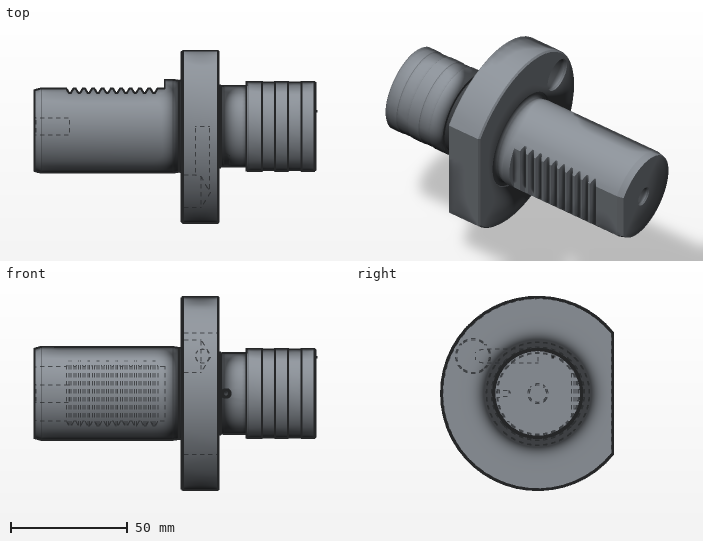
import cadquery as cq
import math


SHANK_RADIUS = 20.0
SHANK_LENGTH = 63.0
LEAD_LENGTH = 3.0
LEAD_ANGLE = 15.0
RELIEF_START = -3.75
RELIEF_END = -1.55
RELIEF_RADIUS = 19.65
SHANK_GROOVE_END = -0.55
SHANK_GROOVE_DEPTH = 0.15
SHANK_GROOVE_SIDE = 0.4

FLAT_Y = 16.25
FLAT_END = -7.2
TOOTH_PITCH = 4.0
TOOTH_COUNT = 10
LAST_TOOTH_X = -11.75
TOOTH_DEPTH = 1.9
TOOTH_ROOT_WIDTH = 0.8
TOOTH_TOP_WIDTH = 3.1

FLANGE_RADIUS = 41.5
FLANGE_THICKNESS = 16.0
FLANGE_FLAT_Y = 32.35
FLANGE_FRONT_CHAMFER = 0.75
FLANGE_BACK_CHAMFER = 0.5

RECESS_RADIUS = 22.2
RECESS_CHAMFER = 0.25
ROOT_FILLET = 1.2
RECESS_DEPTH = SHANK_GROOVE_END + ROOT_FILLET

NECK_RADIUS = 17.4
NECK_COLLAR_RADIUS = 17.7
NECK_COLLAR_END = 16.65
NECK_GROOVE_RADIUS = 17.3
NECK_GROOVE_START = 17.0
NECK_GROOVE_END = 17.4
NECK_START = 18.2
HEAD_START = 27.9
HEAD_END = 57.65
HEAD_RADIUS = 19.2
HEAD_EDGE_LENGTH = 0.6
HEAD_EDGE_DROP = 0.15
HEAD_END_CHAMFER = 0.75
HEAD_BANDS = ((34.5, 40.2), (45.6, 51.6))
BAND_DEPTH = 0.25
BAND_SIDE = 0.25

OVERALL_LENGTH = 121.0
PIP_DIAMETER = 0.5
PIP_Y = 6.4
PIP_Z = 15.5

END_HOLE_RADIUS = 3.7
END_HOLE_CHAMFER = 0.6
END_HOLE_DEPTH = 15.0

PORT_Y = -27.8
PORT_Z = 16.1
PORT_RADIUS = 7.0
PORT_CHAMFER_WIDTH = 0.5
PORT_CHAMFER_DEPTH = 0.85
PORT_DEPTH = 8.4
PORT_POINT_ANGLE = 118.0
CROSS_HOLE_X = 8.95
CROSS_HOLE_RADIUS = 2.95
CROSS_HOLE_END_Y = 0.0

SIDE_HOLE_X = 19.15
SIDE_HOLE_RADIUS = 1.3
SIDE_HOLE_MOUTH_RADIUS = 2.0
SIDE_HOLE_CHAMFER = 0.35
SIDE_HOLE_MOUTH_DEPTH = 1.0
SIDE_HOLE_DEPTH = 5.0
SIDE_HOLE_POINT_ANGLE = 118.0


def revolve_about_x(points):
    """Solid of revolution from (x, radius) points, closed along the X axis."""
    rim = [(x, -radius) for x, radius in points]
    outline = [(points[0][0], 0)] + rim + [(points[-1][0], 0)]
    profile = cq.Workplane("XY").polyline(outline).close()
    return profile.revolve(360, (0, 0, 0), (1, 0, 0))


def make_shank():
    lead_drop = LEAD_LENGTH * math.tan(math.radians(LEAD_ANGLE))
    groove_radius = RELIEF_RADIUS - SHANK_GROOVE_DEPTH
    shank = revolve_about_x([
        (-SHANK_LENGTH, SHANK_RADIUS - lead_drop),
        (-SHANK_LENGTH + LEAD_LENGTH, SHANK_RADIUS),
        (RELIEF_START, SHANK_RADIUS),
        (RELIEF_END, RELIEF_RADIUS),
        (RELIEF_END + SHANK_GROOVE_SIDE, groove_radius),
        (SHANK_GROOVE_END - SHANK_GROOVE_SIDE, groove_radius),
        (SHANK_GROOVE_END, RELIEF_RADIUS),
        (FLANGE_THICKNESS / 2, RELIEF_RADIUS),
    ])
    return shank.cut(make_rack_cutter(lead_drop))


def make_rack_cutter(lead_drop):
    """Everything removed above the toothed flat, including its sloped lead."""
    above = 2 * SHANK_RADIUS
    start = -SHANK_LENGTH
    flat = (
        cq.Workplane("XY")
        .moveTo(start, FLAT_Y - lead_drop)
        .lineTo(start + LEAD_LENGTH, FLAT_Y)
        .lineTo(FLAT_END, FLAT_Y)
        .lineTo(FLAT_END, above)
        .lineTo(start, above)
        .close()
        .extrude(SHANK_RADIUS, both=True)
    )
    for index in range(TOOTH_COUNT):
        flat = flat.union(make_tooth_gap(LAST_TOOTH_X - index * TOOTH_PITCH))
    return flat


def make_tooth_gap(x):
    root_y = FLAT_Y - TOOTH_DEPTH
    return (
        cq.Workplane("XY")
        .moveTo(x - TOOTH_TOP_WIDTH / 2, FLAT_Y)
        .lineTo(x - TOOTH_ROOT_WIDTH / 2, root_y)
        .lineTo(x + TOOTH_ROOT_WIDTH / 2, root_y)
        .lineTo(x + TOOTH_TOP_WIDTH / 2, FLAT_Y)
        .close()
        .extrude(SHANK_RADIUS, both=True)
    )


def make_flange():
    size = 2 * FLANGE_RADIUS
    disc = cq.Workplane("YZ").circle(FLANGE_RADIUS).extrude(FLANGE_THICKNESS)
    beyond_flat = cq.Workplane("XY").box(size, size, size)
    beyond_flat = beyond_flat.translate((0, FLANGE_FLAT_Y + FLANGE_RADIUS, 0))
    flange = disc.cut(beyond_flat)
    flange = flange.faces("<X").edges().chamfer(FLANGE_FRONT_CHAMFER)
    return flange.faces(">X").edges().chamfer(FLANGE_BACK_CHAMFER)


def make_recess():
    """Chamfered ring-shaped recess, as deep as the bottom of the root fillet."""
    wall_radius = RECESS_RADIUS - RECESS_CHAMFER
    profile = cq.Workplane("XY").polyline([
        (0, -RELIEF_RADIUS),
        (RECESS_DEPTH, -RELIEF_RADIUS),
        (RECESS_DEPTH, -wall_radius),
        (RECESS_CHAMFER, -wall_radius),
        (0, -RECESS_RADIUS),
    ])
    return profile.close().revolve(360, (0, 0, 0), (1, 0, 0))


def make_root_fillet():
    """Concave ring sweeping from the shank into the recess floor."""
    profile = (
        cq.Workplane("XY")
        .moveTo(SHANK_GROOVE_END, -RELIEF_RADIUS)
        .radiusArc((RECESS_DEPTH, -RELIEF_RADIUS - ROOT_FILLET), ROOT_FILLET)
        .lineTo(RECESS_DEPTH, -RELIEF_RADIUS)
        .close()
    )
    return profile.revolve(360, (0, 0, 0), (1, 0, 0))


def make_neck_and_head():
    points = [
        (FLANGE_THICKNESS / 2, NECK_COLLAR_RADIUS),
        (NECK_COLLAR_END, NECK_COLLAR_RADIUS),
        (NECK_GROOVE_START, NECK_GROOVE_RADIUS),
        (NECK_GROOVE_END, NECK_GROOVE_RADIUS),
        (NECK_START, NECK_RADIUS),
        (HEAD_START, NECK_RADIUS),
        (HEAD_START, HEAD_RADIUS - HEAD_EDGE_DROP),
        (HEAD_START + HEAD_EDGE_LENGTH, HEAD_RADIUS),
    ]
    band_radius = HEAD_RADIUS - BAND_DEPTH
    for band_start, band_end in HEAD_BANDS:
        points += [
            (band_start, HEAD_RADIUS),
            (band_start + BAND_SIDE, band_radius),
            (band_end - BAND_SIDE, band_radius),
            (band_end, HEAD_RADIUS),
        ]
    points += [
        (HEAD_END - HEAD_END_CHAMFER, HEAD_RADIUS),
        (HEAD_END, HEAD_RADIUS - HEAD_END_CHAMFER),
    ]
    return revolve_about_x(points)


def make_pip():
    tip_x = OVERALL_LENGTH - SHANK_LENGTH
    base = cq.Workplane("YZ", origin=(HEAD_END, PIP_Y, PIP_Z))
    return base.circle(PIP_DIAMETER / 2).extrude(tip_x - HEAD_END)


def make_end_hole():
    start = -SHANK_LENGTH
    return revolve_about_x([
        (start, END_HOLE_RADIUS + END_HOLE_CHAMFER),
        (start + END_HOLE_CHAMFER, END_HOLE_RADIUS),
        (start + END_HOLE_DEPTH, END_HOLE_RADIUS),
    ])


def make_coolant_port():
    point_length = PORT_RADIUS / math.tan(math.radians(PORT_POINT_ANGLE / 2))
    port = (
        cq.Workplane("XY")
        .polyline([
            (0, 0),
            (0, PORT_RADIUS + PORT_CHAMFER_WIDTH),
            (PORT_CHAMFER_DEPTH, PORT_RADIUS),
            (PORT_DEPTH, PORT_RADIUS),
            (PORT_DEPTH + point_length, 0),
        ])
        .close()
        .revolve(360, (0, 0, 0), (1, 0, 0))
        .translate((0, PORT_Y, PORT_Z))
    )
    cross_hole = (
        cq.Workplane("XZ", origin=(CROSS_HOLE_X, CROSS_HOLE_END_Y, PORT_Z))
        .circle(CROSS_HOLE_RADIUS)
        .extrude(CROSS_HOLE_END_Y - PORT_Y)
    )
    return port.union(cross_hole)


def make_side_hole():
    """Tapped hole: a wide thread section above a narrower tapping drill with a pointed end."""
    point_length = SIDE_HOLE_RADIUS / math.tan(math.radians(SIDE_HOLE_POINT_ANGLE / 2))
    mouth_floor_y = SIDE_HOLE_MOUTH_DEPTH - NECK_RADIUS
    drill_end_y = SIDE_HOLE_DEPTH - NECK_RADIUS
    hole = (
        cq.Workplane("XY")
        .polyline([
            (0, -NECK_RADIUS),
            (SIDE_HOLE_MOUTH_RADIUS, -NECK_RADIUS),
            (SIDE_HOLE_MOUTH_RADIUS - SIDE_HOLE_CHAMFER, SIDE_HOLE_CHAMFER - NECK_RADIUS),
            (SIDE_HOLE_MOUTH_RADIUS - SIDE_HOLE_CHAMFER, mouth_floor_y),
            (SIDE_HOLE_RADIUS, mouth_floor_y),
            (SIDE_HOLE_RADIUS, drill_end_y),
            (0, drill_end_y + point_length),
        ])
        .close()
        .revolve(360, (0, 0, 0), (0, 1, 0))
    )
    return hole.translate((SIDE_HOLE_X, 0, 0))


result = make_flange().cut(make_recess()).union(make_root_fillet())
result = result.union(make_shank()).union(make_neck_and_head()).union(make_pip())
result = result.cut(make_end_hole()).cut(make_coolant_port()).cut(make_side_hole())